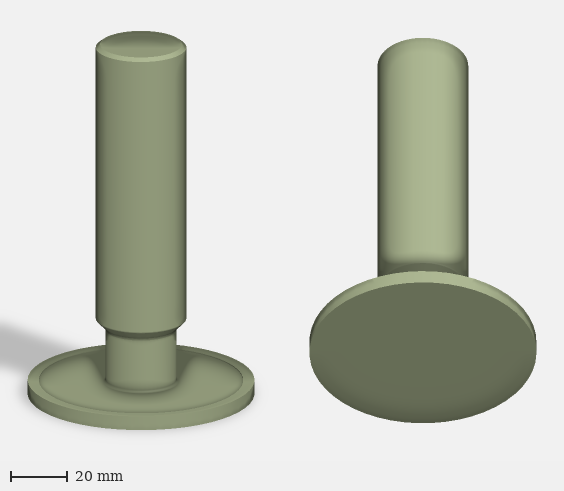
import cadquery as cq

TOTAL_HEIGHT = 130.0

PAD_DIAMETER = 80.0
PAD_HEIGHT = 5.1
RIM_CREST_DIAMETER = 77.9
RIM_DISH_DROP = 0.1
RECESS_DIAMETER = 72.0
RECESS_FLOOR = 2.0

DISC_SINK = 0.5
DISC_TOP = PAD_HEIGHT - DISC_SINK
NECK_DIAMETER = 25.0
NECK_ROOT_FILLET = 0.9
POST_DIAMETER = 32.0
POST_BOTTOM = 28.0
SHOULDER_HEIGHT = (POST_DIAMETER - NECK_DIAMETER) / 2
SHOULDER_BOTTOM = POST_BOTTOM - SHOULDER_HEIGHT
SHOULDER_INNER_FILLET = 1.3
SHOULDER_OUTER_FILLET = 0.6
TOP_CHAMFER_WIDTH = 1.5
TOP_CHAMFER_HEIGHT = 1.2


def revolve_profile(points):
    """Revolve a closed (radius, height) outline around the Z axis."""
    return cq.Workplane("XZ").polyline(points).close().revolve(360, (0, 0, 0), (0, 1, 0))


def round_circle(body, diameter, height, fillet):
    """Fillet the circular edge of the given diameter centred on Z at the given height."""
    reach = 0.01
    radius = diameter / 2
    box = cq.selectors.BoxSelector(
        (-radius - reach, -radius - reach, height - reach),
        (radius + reach, radius + reach, height + reach),
        boundingbox=True,
    )
    return body.edges("%CIRCLE").edges(box).edges(cq.selectors.RadiusNthSelector(-1)).fillet(fillet)


def make_pad():
    outer = PAD_DIAMETER / 2
    recess = RECESS_DIAMETER / 2
    return revolve_profile([
        (0, 0),
        (outer, 0),
        (outer, PAD_HEIGHT),
        (RIM_CREST_DIAMETER / 2, PAD_HEIGHT),
        (recess, PAD_HEIGHT - RIM_DISH_DROP),
        (recess, RECESS_FLOOR),
        (0, RECESS_FLOOR),
    ])


def make_foot():
    disc = RECESS_DIAMETER / 2
    neck = NECK_DIAMETER / 2
    post = POST_DIAMETER / 2
    foot = revolve_profile([
        (0, RECESS_FLOOR),
        (disc, RECESS_FLOOR),
        (disc, DISC_TOP),
        (neck, DISC_TOP),
        (neck, SHOULDER_BOTTOM),
        (post, POST_BOTTOM),
        (post, TOTAL_HEIGHT - TOP_CHAMFER_HEIGHT),
        (post - TOP_CHAMFER_WIDTH, TOTAL_HEIGHT),
        (0, TOTAL_HEIGHT),
    ])
    foot = round_circle(foot, NECK_DIAMETER, DISC_TOP, NECK_ROOT_FILLET)
    foot = round_circle(foot, NECK_DIAMETER, SHOULDER_BOTTOM, SHOULDER_INNER_FILLET)
    return round_circle(foot, POST_DIAMETER, POST_BOTTOM, SHOULDER_OUTER_FILLET)


pad = make_pad()
foot = make_foot()

result = cq.Compound.makeCompound([pad.val(), foot.val()])